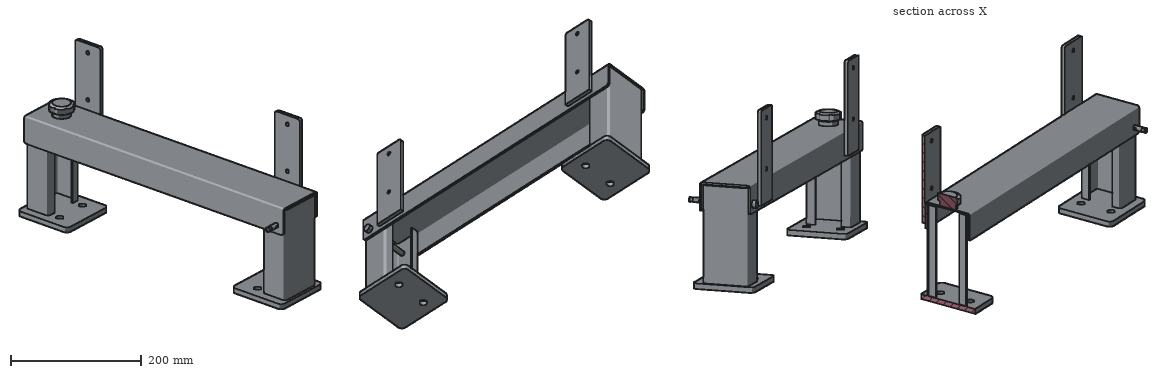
import cadquery as cq

TOTAL_LENGTH = 525.0
COVER_LENGTH = 515.0
COVER_END_X = COVER_LENGTH / 2

BASE_SIDE = 100.0
BASE_HEIGHT = 9.0
BASE_CORNER_RADIUS = 8.0
BASE_HOLE_DIAMETER = 11.5
BASE_HOLE_X = 196.5
BASE_HOLE_SPACING = 55.0
LEG_DEPTH = 45.0
LEG_WIDTH = 74.5
LEG_WALL = 3.0
LEG_OUTER_RADIUS = 5.0
LEG_LIP = 16.0

COVER_TOP = 167.5
COVER_WALL = 3.0
COVER_HEIGHT = 45.5
COVER_WIDTH = 82.5
COVER_BACK_Y = 42.5
COVER_BEND_RADIUS = 4.5
COVER_CORNER_RADIUS = 5.0
COVER_CENTRE_Y = COVER_BACK_Y - COVER_WIDTH / 2

LEG_BACK_Y = COVER_BACK_Y - COVER_WALL
LEG_CENTRE_Y = LEG_BACK_Y - LEG_WIDTH / 2
LEG_CLEARANCE = 1.5
LEG_TOP = COVER_TOP - COVER_WALL - LEG_CLEARANCE

PLATE_TOP = 279.0
PLATE_BOTTOM = 129.5
PLATE_WIDTH = 50.0
PLATE_THICKNESS = 6.0
PLATE_CORNER_RADIUS = 4.0
PLATE_CENTRE_X = 198.0
PLATE_HOLE_DIAMETER = 6.0
PLATE_HOLE_DROP = 16.0
PLATE_HOLE_SPACING = 80.5

KNOB_X = -216.0
KNOB_Y = 1.0
KNOB_DIAMETER = 40.0
KNOB_TOP_DIAMETER = 29.0
KNOB_HEIGHT = 21.0
KNOB_RIM_LOW = 9.5
KNOB_RIM_HIGH = 18.5
KNOB_COLLAR_DIAMETER = 30.0
KNOB_COLLAR_HEIGHT = 7.0
NOTCH_COUNT = 6
NOTCH_RADIUS = 3.0
NOTCH_DEPTH = 1.5
NOTCH_EDGE_RADIUS = 2.5

PIN_X = 243.5
PIN_Z = 136.0
PIN_DIAMETER = 8.0
PIN_NECK_DIAMETER = 7.0
PIN_HEAD_DIAMETER = 12.0
PIN_HEAD_LENGTH = 6.5
PIN_TIP_Y = -61.0
PIN_TIP_LENGTH = 1.0
PIN_NECK_LENGTH = 5.0
PIN_CROSS_HOLE_DIAMETER = 2.5
PIN_CROSS_HOLE_Y = -43.5


def cylinder_along_y(diameter, front_y, back_y):
    """Cylinder on the pin axis between two Y positions."""
    axis_start = cq.Vector(PIN_X, front_y, PIN_Z)
    return cq.Workplane(
        cq.Solid.makeCylinder(diameter / 2, back_y - front_y, axis_start, cq.Vector(0, 1, 0))
    )


def pin_bore():
    """Bore for the pin shaft through everything in front of the pin head."""
    return cylinder_along_y(PIN_DIAMETER, PIN_TIP_Y, COVER_BACK_Y)


def make_leg():
    """Lipped channel of the right post, with its web outside."""
    height = LEG_TOP - BASE_HEIGHT
    centre_x = COVER_END_X - LEG_DEPTH / 2
    plane = cq.Workplane("XY").workplane(offset=BASE_HEIGHT).center(centre_x, LEG_CENTRE_Y)
    outside = plane.rect(LEG_DEPTH, LEG_WIDTH).extrude(height).edges("|Z").fillet(LEG_OUTER_RADIUS)
    inside = (
        plane.rect(LEG_DEPTH - 2 * LEG_WALL, LEG_WIDTH - 2 * LEG_WALL)
        .extrude(height)
        .edges("|Z")
        .fillet(LEG_OUTER_RADIUS - LEG_WALL)
    )
    mouth = plane.center(-LEG_DEPTH / 2, 0).rect(LEG_DEPTH, LEG_WIDTH - 2 * LEG_LIP).extrude(height)
    return outside.cut(inside).cut(mouth)


def make_base():
    """Base plate of the right post with its two mounting holes."""
    centre_x = TOTAL_LENGTH / 2 - BASE_SIDE / 2
    base = (
        cq.Workplane("XY")
        .center(centre_x, 0)
        .rect(BASE_SIDE, BASE_SIDE)
        .extrude(BASE_HEIGHT)
        .edges("|Z")
        .fillet(BASE_CORNER_RADIUS)
    )
    holes = (
        cq.Workplane("XY")
        .center(BASE_HOLE_X, 0)
        .rarray(5, BASE_HOLE_SPACING, 1, 2)
        .circle(BASE_HOLE_DIAMETER / 2)
        .extrude(BASE_HEIGHT)
    )
    return base.cut(holes)


def make_cover():
    """Inverted channel with bent top edges and rounded lower corners."""
    inner_width = COVER_WIDTH - 2 * COVER_WALL
    outside = (
        cq.Workplane("XY")
        .box(COVER_LENGTH, COVER_WIDTH, COVER_HEIGHT, centered=(True, True, False))
        .edges("|X and >Z")
        .fillet(COVER_BEND_RADIUS)
        .edges("|Y and <Z")
        .fillet(COVER_CORNER_RADIUS)
    )
    inside = (
        cq.Workplane("XY")
        .box(COVER_LENGTH, inner_width, COVER_HEIGHT - COVER_WALL, centered=(True, True, False))
        .edges("|X and >Z")
        .fillet(COVER_BEND_RADIUS - COVER_WALL)
    )
    channel = outside.cut(inside).translate((0, COVER_CENTRE_Y, COVER_TOP - COVER_HEIGHT))
    return channel.cut(pin_bore())


def make_plate(centre_x):
    """Upright plate with rounded upper corners and two holes."""
    height = PLATE_TOP - PLATE_BOTTOM
    blank = (
        cq.Workplane("XY")
        .box(PLATE_WIDTH, PLATE_THICKNESS, height, centered=(True, False, False))
        .edges("|Y and >Z")
        .fillet(PLATE_CORNER_RADIUS)
        .translate((centre_x, COVER_BACK_Y, PLATE_BOTTOM))
    )
    upper_hole_z = PLATE_TOP - PLATE_HOLE_DROP
    holes = (
        cq.Workplane("XZ", origin=(0, COVER_BACK_Y, 0))
        .pushPoints([(centre_x, upper_hole_z), (centre_x, upper_hole_z - PLATE_HOLE_SPACING)])
        .circle(PLATE_HOLE_DIAMETER / 2)
        .extrude(-PLATE_THICKNESS)
    )
    return blank.cut(holes)


def make_knob():
    """Bevelled star knob with notches around its rim, on a round collar."""
    rim_radius = KNOB_DIAMETER / 2
    notch_circle_radius = rim_radius - NOTCH_DEPTH + NOTCH_RADIUS
    star = (
        cq.Workplane("XY")
        .circle(rim_radius)
        .extrude(KNOB_HEIGHT)
        .cut(
            cq.Workplane("XY")
            .polarArray(notch_circle_radius, 90, 360, NOTCH_COUNT)
            .circle(NOTCH_RADIUS)
            .extrude(KNOB_HEIGHT)
        )
    )
    star = star.edges("|Z").fillet(NOTCH_EDGE_RADIUS)
    profile = (
        cq.Workplane("XZ")
        .moveTo(0, 0)
        .lineTo(KNOB_COLLAR_DIAMETER / 2, 0)
        .lineTo(KNOB_COLLAR_DIAMETER / 2, KNOB_COLLAR_HEIGHT)
        .lineTo(rim_radius, KNOB_RIM_LOW)
        .lineTo(rim_radius, KNOB_RIM_HIGH)
        .lineTo(KNOB_TOP_DIAMETER / 2, KNOB_HEIGHT)
        .lineTo(0, KNOB_HEIGHT)
        .close()
        .revolve(360, (0, 0, 0), (0, 1, 0))
    )
    return star.intersect(profile).translate((KNOB_X, KNOB_Y, COVER_TOP))


def make_pin():
    """Pin with a head behind the cover and a necked, cross-drilled front end."""
    neck_front_y = PIN_TIP_Y + PIN_TIP_LENGTH
    neck_back_y = neck_front_y + PIN_NECK_LENGTH
    tip = cylinder_along_y(PIN_DIAMETER, PIN_TIP_Y, neck_front_y)
    neck = cylinder_along_y(PIN_NECK_DIAMETER, neck_front_y, neck_back_y)
    shaft = cylinder_along_y(PIN_DIAMETER, neck_back_y, COVER_BACK_Y)
    head = cylinder_along_y(PIN_HEAD_DIAMETER, COVER_BACK_Y, COVER_BACK_Y + PIN_HEAD_LENGTH)
    cross_hole = (
        cq.Workplane("YZ", origin=(PIN_X, PIN_CROSS_HOLE_Y, PIN_Z))
        .circle(PIN_CROSS_HOLE_DIAMETER / 2)
        .extrude(PIN_DIAMETER / 2, both=True)
    )
    return tip.union(neck).union(shaft).union(head).cut(cross_hole)


plain_post = make_base().union(make_leg())
left_post = plain_post.mirror("YZ")
right_post = plain_post.cut(pin_bore())
cover = make_cover()
plates = [make_plate(side * PLATE_CENTRE_X) for side in (-1, 1)]
knob = make_knob()
pin = make_pin()

result = cq.Compound.makeCompound([
    left_post.val(),
    right_post.val(),
    cover.val(),
    *[plate.val() for plate in plates],
    knob.val(),
    pin.val(),
])